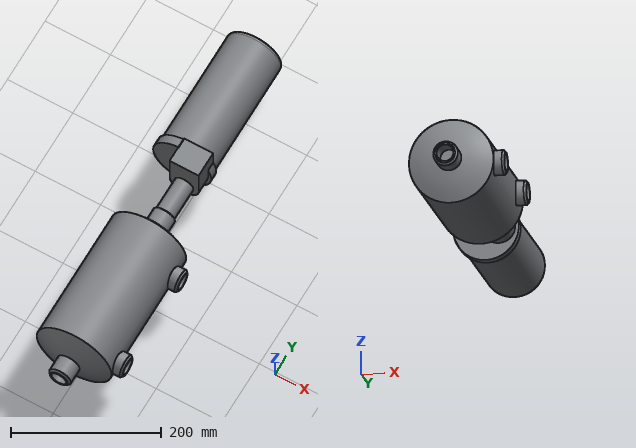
import cadquery as cq
import math

overall_length = 553.97

vessel_diameter = 114.3
vessel_length = 199.0
head_radius = vessel_diameter
vessel_radius = vessel_diameter / 2
vessel_half = vessel_length / 2
head_rise = head_radius - math.sqrt(head_radius**2 - vessel_radius**2)

pipe_diameter = 33.4
pipe_bore = 22.63
pipe_chamfer_length = 3.0
pipe_chamfer_depth = 3.0
nozzle_reach = 40.5
nozzle_end = -vessel_half - nozzle_reach
port_end = 70.5
port_spacing = 146.0
port_center_y = -6.7
port_stub_length = port_end / 2
port_bore_depth = port_end - vessel_radius
nozzle_bore_depth = nozzle_reach - head_rise

collar_end = vessel_half + nozzle_reach
rod_diameter = 28.57
rod_length = 53.0
rod_end = collar_end + rod_length

block_width = 44.45
block_top = 47.6
block_length = 38.5
block_end = rod_end + block_length

motor_x = -17.47
motor_diameter = 82.55
motor_end = nozzle_end + overall_length
motor_fillet = 5.5
flange_diameter = 88.9
flange_thickness = 13.5
flange_start = block_end - flange_thickness


def cylinder_y(diameter, start, end, x=0):
    """Cylinder along +Y between two Y positions."""
    plane = cq.Plane(origin=(x, start, 0), xDir=(1, 0, 0), normal=(0, 1, 0))
    return cq.Workplane(plane).circle(diameter / 2).extrude(end - start)


def make_vessel():
    """Cylinder with a spherical dished head at each end."""
    apex = vessel_half + head_rise
    mid_radius = vessel_radius / 2
    mid_y = apex - head_radius + math.sqrt(head_radius**2 - mid_radius**2)
    profile = (
        cq.Workplane("XY")
        .moveTo(0, -apex)
        .threePointArc((mid_radius, -mid_y), (vessel_radius, -vessel_half))
        .lineTo(vessel_radius, vessel_half)
        .threePointArc((mid_radius, mid_y), (0, apex))
        .close()
    )
    return profile.revolve(360, (0, 0, 0), (0, 1, 0))


def make_pipe(end_point, direction, length):
    """Pipe stub running inward from end_point, with its outer end chamfered."""
    inward_x = -direction[0]
    inward_y = -direction[1]
    plane = cq.Plane(origin=end_point, xDir=(inward_y, -inward_x, 0), normal=(0, 0, 1))
    outer_radius = pipe_diameter / 2
    return (
        cq.Workplane(plane)
        .lineTo(outer_radius - pipe_chamfer_depth, 0)
        .lineTo(outer_radius, pipe_chamfer_length)
        .lineTo(outer_radius, length)
        .lineTo(0, length)
        .close()
        .revolve(360, (0, 0, 0), (0, 1, 0))
    )


def make_bore(end_point, direction, depth):
    """Blind round bore running inward from end_point."""
    inward = tuple(-component for component in direction)
    plane = cq.Plane(origin=end_point, xDir=(0, 0, 1), normal=inward)
    return cq.Workplane(plane).circle(pipe_bore / 2).extrude(depth)


def make_block():
    """Block that joins the rod to the motor flange."""
    half_width = block_width / 2
    plane = cq.Plane(origin=(0, rod_end, 0), xDir=(-1, 0, 0), normal=(0, 1, 0))
    return (
        cq.Workplane(plane)
        .moveTo(-half_width, 0)
        .lineTo(-half_width, block_top)
        .lineTo(half_width, block_top)
        .lineTo(half_width, 0)
        .threePointArc((0, -half_width), (-half_width, 0))
        .close()
        .extrude(block_length)
    )


def make_motor():
    """Motor body with a rounded far end and a round front flange."""
    body = cylinder_y(motor_diameter, flange_start, motor_end, motor_x)
    body = body.faces(">Y").edges().fillet(motor_fillet)
    return body.union(cylinder_y(flange_diameter, flange_start, block_end, motor_x))


nozzles = [((0, nozzle_end, 0), (0, -1, 0), nozzle_reach, nozzle_bore_depth)]
for side in (-1, 1):
    port_y = port_center_y + side * port_spacing / 2
    nozzles.append(((port_end, port_y, 0), (1, 0, 0), port_stub_length, port_bore_depth))

result = make_vessel()
result = result.union(cylinder_y(pipe_diameter, vessel_half, collar_end))
result = result.union(cylinder_y(rod_diameter, vessel_half, rod_end))
result = result.union(make_block())
result = result.union(make_motor())
for end_point, direction, stub_length, bore_depth in nozzles:
    result = result.union(make_pipe(end_point, direction, stub_length))
    result = result.cut(make_bore(end_point, direction, bore_depth))